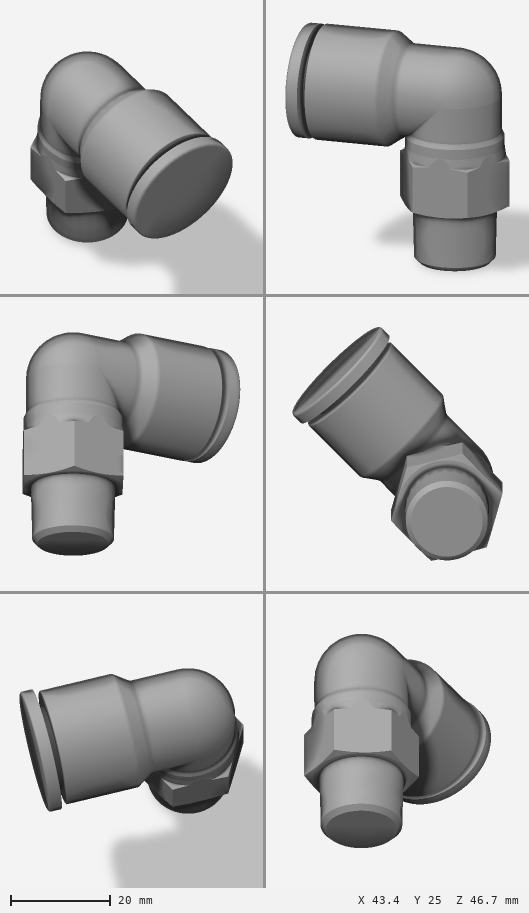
import cadquery as cq
import math

AXIS_HEIGHT = 35.0
ELBOW_RADIUS = 9.5

SPIGOT_TOP_RADIUS = 8.5
SPIGOT_TIP_RADIUS = 8.2
SPIGOT_CHAMFER = 1.05

HEX_BOTTOM = 11.95
HEX_ACROSS_FLATS = 20.0
HEX_CORNER_RADIUS = HEX_ACROSS_FLATS / math.sqrt(3)
HEX_BOTTOM_FACE_RADIUS = 9.8
HEX_CORNER_BOTTOM = 12.55
HEX_CORNER_TOP = 22.1

SHOULDER_BOTTOM = 22.4
SHOULDER_BOTTOM_RADIUS = 10.27
SHOULDER_TOP = 24.42
COLLAR_RADIUS = HEX_ACROSS_FLATS / 2
COLLAR_TOP = 26.5
COLLAR_CONE_TOP = 27.5

SOCKET_RADIUS = 11.7
SOCKET_CONE_START = 9.85
SOCKET_CONE_END = 13.08
SOCKET_END = 28.0
SOCKET_BLEND = 1.0
SOCKET_EDGE_FILLET = 0.2

NECK_RADIUS = 8.5
FLANGE_START = 29.35
FLANGE_END = 31.9
FLANGE_HALF_WIDTH = 12.5
FLANGE_HALF_HEIGHT = 11.5
FLANGE_FILLET = 0.5


def revolve_about_z(profile):
    """Turn (radius, height) points, closed along the Z axis."""
    return cq.Workplane("XZ").polyline(profile).close().revolve(360, (0, 0, 0), (0, 1, 0))


def arm_plane(x):
    """Plane across the arm at x, with local x along Y and local y along Z."""
    return cq.Workplane("YZ", origin=(x, 0, AXIS_HEIGHT))


def make_spigot():
    tip_face_radius = SPIGOT_TIP_RADIUS - SPIGOT_CHAMFER
    return revolve_about_z([
        (0, 0),
        (tip_face_radius, 0),
        (SPIGOT_TIP_RADIUS, SPIGOT_CHAMFER),
        (SPIGOT_TOP_RADIUS, HEX_BOTTOM),
        (0, HEX_BOTTOM),
    ])


def make_nut():
    """Hexagonal prism limited by the turned chamfers and the conical shoulder."""
    prism = (
        cq.Workplane("XY", origin=(0, 0, HEX_BOTTOM))
        .polygon(6, 2 * HEX_CORNER_RADIUS)
        .extrude(SHOULDER_TOP - HEX_BOTTOM)
    )
    turned_envelope = revolve_about_z([
        (0, HEX_BOTTOM),
        (HEX_BOTTOM_FACE_RADIUS, HEX_BOTTOM),
        (HEX_CORNER_RADIUS, HEX_CORNER_BOTTOM),
        (HEX_CORNER_RADIUS, HEX_CORNER_TOP),
        (SHOULDER_BOTTOM_RADIUS, SHOULDER_BOTTOM),
        (COLLAR_RADIUS, SHOULDER_TOP),
        (0, SHOULDER_TOP),
    ])
    return prism.intersect(turned_envelope)


def make_leg():
    """Collar and vertical half of the elbow."""
    return revolve_about_z([
        (0, SHOULDER_TOP),
        (COLLAR_RADIUS, SHOULDER_TOP),
        (COLLAR_RADIUS, COLLAR_TOP),
        (ELBOW_RADIUS, COLLAR_CONE_TOP),
        (ELBOW_RADIUS, AXIS_HEIGHT),
        (0, AXIS_HEIGHT),
    ])


def make_dome():
    """Spherical outside corner of the elbow."""
    return cq.Workplane("XY", origin=(0, 0, AXIS_HEIGHT)).sphere(ELBOW_RADIUS)


def make_arm():
    """Horizontal half of the elbow, flaring out into the socket body."""
    profile = [
        (0, 0),
        (0, ELBOW_RADIUS),
        (SOCKET_CONE_START, ELBOW_RADIUS),
        (SOCKET_CONE_END, SOCKET_RADIUS),
        (SOCKET_END, SOCKET_RADIUS),
        (SOCKET_END, 0),
    ]
    arm = (
        cq.Workplane("XZ", origin=(0, 0, AXIS_HEIGHT))
        .polyline(profile)
        .close()
        .revolve(360, (0, 0, 0), (1, 0, 0))
    )
    cone_edges = arm.faces("%CONE").edges("%CIRCLE")
    return cone_edges.fillet(SOCKET_BLEND).faces(">X").edges().fillet(SOCKET_EDGE_FILLET)


def make_release_ring():
    neck = arm_plane(SOCKET_END).circle(NECK_RADIUS).extrude(FLANGE_START - SOCKET_END)
    flange = (
        arm_plane(FLANGE_START)
        .ellipse(FLANGE_HALF_WIDTH, FLANGE_HALF_HEIGHT)
        .extrude(FLANGE_END - FLANGE_START)
        .faces(">X")
        .edges()
        .fillet(FLANGE_FILLET)
    )
    return neck.union(flange)


result = (
    make_spigot()
    .union(make_nut())
    .union(make_leg())
    .union(make_dome())
    .union(make_arm())
    .union(make_release_ring())
)